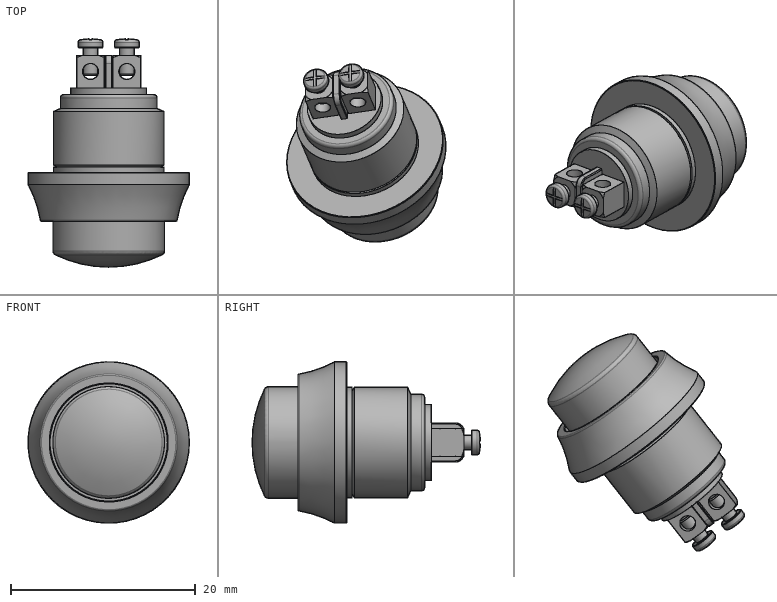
import cadquery as cq
import math


overall_length = 24.75

button_radius = 12.1 / 2
button_tip_y = -10.27
dome_radius = 13.12
button_edge_fillet = 0.5

flange_radius = 17.5 / 2
flange_rim_y = -1.3
flange_front_y = -5.3
flange_front_radius = 7.42
flange_taper_sag = 0.17
flange_front_fillet = 0.15
flange_rear_chamfer = 0.07
opening_radius = 12.7 / 2
opening_chamfer = 0.1
opening_floor_y = flange_rim_y

body_radius = 12.0 / 2
groove_radius = 11.2 / 2
groove_front_y = 0.57
groove_rear_y = 0.82
body_bevel_y = 6.58
neck_radius = 10.5 / 2
neck_start_y = 6.93
neck_end_y = 8.45
neck_fillet = 0.37
base_radius = 8.25 / 2
base_end_y = 9.15

terminal_spacing = 3.94
block_size = 3.02
block_end_y = 12.67
block_corner_flat_radius = 1.73
block_corner_angle = 30.0
wire_hole_diameter = 1.7
wire_hole_y = 10.95
rib_width = 0.77
rib_height = 4.25
rib_fillet = 0.9
rib_bevel_width = 0.07
rib_bevel_height = 0.15

shank_radius = 1.6 / 2
shank_tip_y = 10.5
shank_tip_chamfer = 0.15
head_radius = 2.7 / 2
head_seat_y = 13.5
head_seat_chamfer = 0.07
head_dome_radius = 5.45
head_fillet = 0.3
head_top_y = button_tip_y + overall_length
recess_width = 0.3
recess_depth = 0.1


def revolved(profile, x=0):
    """Turn a closed (radius, y) profile about the line parallel to Y at the given x."""
    return profile.close().revolve(360, (0, 0, 0), (0, 1, 0)).translate((x, 0, 0))


def dome_drop(sphere_radius, radius):
    """Distance along Y from the tip of a spherical dome to its circle of the given radius."""
    return sphere_radius - math.sqrt(sphere_radius**2 - radius**2)


def make_button():
    half_radius = button_radius / 2
    profile = (
        cq.Workplane("XY")
        .moveTo(0, 0)
        .lineTo(button_radius, 0)
        .lineTo(button_radius, button_tip_y + dome_drop(dome_radius, button_radius))
        .threePointArc((half_radius, button_tip_y + dome_drop(dome_radius, half_radius)), (0, button_tip_y))
    )
    return revolved(profile).faces("<Y").edges().fillet(button_edge_fillet)


def make_flange():
    taper_end_y = flange_front_y + flange_front_fillet
    taper_middle = (
        (flange_radius + flange_front_radius) / 2 - flange_taper_sag,
        (flange_rim_y + taper_end_y) / 2,
    )
    round_inset = flange_front_fillet * (1 - math.sqrt(0.5))
    profile = (
        cq.Workplane("XY")
        .moveTo(0, 0)
        .lineTo(flange_radius - flange_rear_chamfer, 0)
        .lineTo(flange_radius, -flange_rear_chamfer)
        .lineTo(flange_radius, flange_rim_y)
        .threePointArc(taper_middle, (flange_front_radius, taper_end_y))
        .threePointArc(
            (flange_front_radius - round_inset, flange_front_y + round_inset),
            (flange_front_radius - flange_front_fillet, flange_front_y),
        )
        .lineTo(opening_radius + opening_chamfer, flange_front_y)
        .lineTo(opening_radius, flange_front_y + opening_chamfer)
        .lineTo(opening_radius, opening_floor_y)
        .lineTo(0, opening_floor_y)
    )
    return revolved(profile)


def make_body():
    round_inset = neck_fillet * (1 - math.sqrt(0.5))
    profile = (
        cq.Workplane("XY")
        .moveTo(0, 0)
        .lineTo(body_radius, 0)
        .lineTo(body_radius, groove_front_y)
        .lineTo(groove_radius, groove_front_y)
        .lineTo(body_radius, groove_rear_y)
        .lineTo(body_radius, body_bevel_y)
        .lineTo(neck_radius, neck_start_y)
        .lineTo(neck_radius, neck_end_y - neck_fillet)
        .threePointArc(
            (neck_radius - round_inset, neck_end_y - round_inset),
            (neck_radius - neck_fillet, neck_end_y),
        )
        .lineTo(base_radius, neck_end_y)
        .lineTo(base_radius, base_end_y)
        .lineTo(0, base_end_y)
    )
    return revolved(profile)


def make_block(x):
    """Square terminal block, its rear corners turned off by a cone, with a wire hole along Z."""
    block_length = block_end_y - neck_end_y
    block = cq.Workplane("XY").box(block_size, block_length, block_size)
    block = block.translate((x, neck_end_y + block_length / 2, 0))
    outer_radius = block_size
    cone_drop = (outer_radius - block_corner_flat_radius) * math.tan(math.radians(block_corner_angle))
    envelope = (
        cq.Workplane("XY")
        .moveTo(0, neck_end_y)
        .lineTo(outer_radius, neck_end_y)
        .lineTo(outer_radius, block_end_y - cone_drop)
        .lineTo(block_corner_flat_radius, block_end_y)
        .lineTo(0, block_end_y)
    )
    wire_hole = (
        cq.Workplane("XY")
        .center(x, wire_hole_y)
        .circle(wire_hole_diameter / 2)
        .extrude(block_size, both=True)
    )
    return block.intersect(revolved(envelope, x)).cut(wire_hole)


def make_rib():
    """Upright rib with rounded rear corners and bevelled side edges, built as two mirrored halves."""
    half_width = rib_width / 2
    rib_length = block_end_y - neck_end_y
    half = (
        cq.Workplane("XY")
        .box(half_width, rib_length, rib_height)
        .translate((-half_width / 2, neck_end_y + rib_length / 2, 0))
        .edges(">Y and |X")
        .fillet(rib_fillet)
        .faces("<X")
        .edges("not <Y")
        .chamfer(rib_bevel_height, rib_bevel_width)
    )
    return half.union(half.mirror("YZ"))


def make_screw(x):
    """Terminal screw along Y whose domed head has a shallow cross recess."""
    crown_tip_y = head_top_y + dome_drop(head_dome_radius, recess_width / math.sqrt(2))
    half_radius = head_radius / 2
    head_profile = (
        cq.Workplane("XY")
        .moveTo(0, head_seat_y)
        .lineTo(head_radius - head_seat_chamfer, head_seat_y)
        .lineTo(head_radius, head_seat_y + head_seat_chamfer)
        .lineTo(head_radius, crown_tip_y - dome_drop(head_dome_radius, head_radius))
        .threePointArc(
            (half_radius, crown_tip_y - dome_drop(head_dome_radius, half_radius)),
            (0, crown_tip_y),
        )
    )
    head = revolved(head_profile, x).faces(">Y").edges().fillet(head_fillet)
    shank_profile = (
        cq.Workplane("XY")
        .moveTo(0, shank_tip_y)
        .lineTo(shank_radius - shank_tip_chamfer, shank_tip_y)
        .lineTo(shank_radius, shank_tip_y + shank_tip_chamfer)
        .lineTo(shank_radius, head_seat_y)
        .lineTo(0, head_seat_y)
    )
    screw = head.union(revolved(shank_profile, x))
    for slot_size in ((recess_width, 2 * head_radius), (2 * head_radius, recess_width)):
        slot = cq.Workplane("XY").box(slot_size[0], 2 * recess_depth, slot_size[1])
        screw = screw.cut(slot.translate((x, crown_tip_y, 0)))
    return screw


result = make_flange().union(make_button()).union(make_body()).union(make_rib())
for side in (-1, 1):
    terminal_x = side * terminal_spacing / 2
    result = result.union(make_block(terminal_x)).union(make_screw(terminal_x))